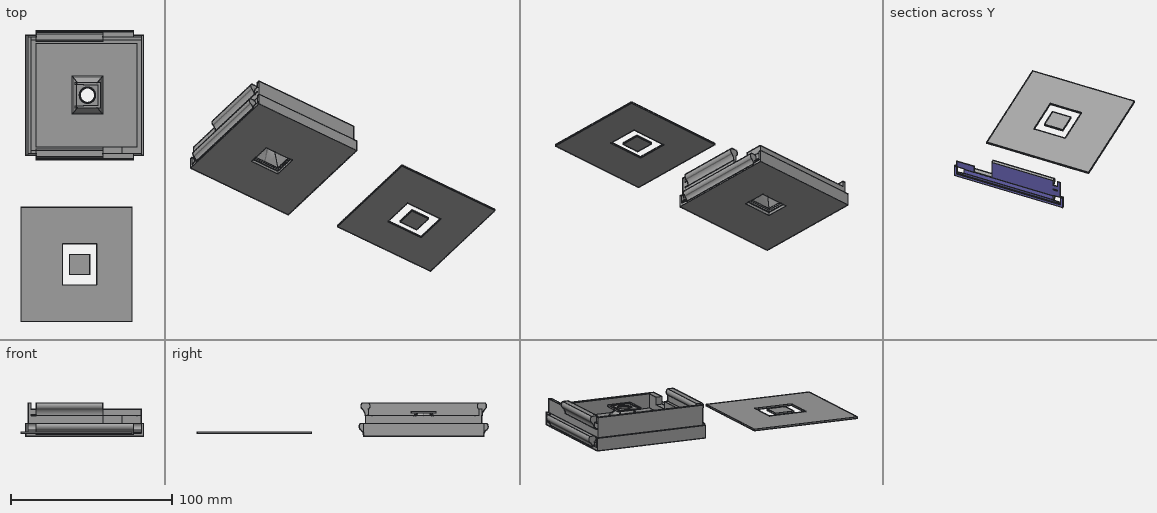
import cadquery as cq

box_length = 70.2
box_width = 72.4
clearance = 0.5

tray_end_wall = 1.5
tray_side_margin = 1.1
tray_length = box_length + 2 * tray_end_wall
tray_width = box_width + 2 * tray_side_margin
tray_height = 8.1
tray_floor = 2.1
tray_finger_bottom = 1.1

total_height = 20.85
box_bottom = tray_floor + clearance
box_floor_top = 3.9
ledge_z = 12.95
rim_top = 16.85
rim_thickness = 1.9
recess_left = -30.2
recess_right = 32.4
recess_width = 64.0
opening_right = 23.1
opening_sill = tray_height

head_height = 4.0
head_flat_overhang = 1.9
head_reach = 2.8
inner_bulge = 1.0
foot_step = 0.2
hollow_depth = 0.4
finger_left = recess_left
box_finger_right = 11.3
tray_finger_right = 30.3

funnel_x = 1.7
funnel_base_length = 19.2
funnel_base_width = 23.6
funnel_base_thickness = 1.2
funnel_base_bevel = 0.85
neck_diameter = 10.2
bore_diameter = 8.9
funnel_wall = 1.0
platform_x = 2.4
platform_length = 15.0
platform_width = 15.6
platform_thickness = 0.6
platform_top = 15.1
lip_height = 0.5
lip_overhang = 0.8
pocket_width = 12.5
pocket_end_wall = 1.6
pocket_entry_width = 13.5
pocket_entry_length = 4.5

overall_length = 76.25
overall_width = 180.63
template_length = 69.0
template_width = 71.0
template_thickness = 1.1
template_bottom = 1.7
window_length = 21.1
window_width = 25.4
window_offset = 2.0
square_size = 12.6

finger_reach_y = tray_width / 2 + head_reach
template_x = tray_length / 2 - overall_length + template_length / 2
template_y = finger_reach_y - overall_width + template_width / 2
window_x = template_x + window_offset


def block(x_min, x_max, y_min, y_max, z_min, z_max):
    """Box given by its limits along each axis."""
    size = (x_max - x_min, y_max - y_min, z_max - z_min)
    return cq.Workplane("XY").box(*size, centered=False).translate((x_min, y_min, z_min))


def centred_block(x, y, length, width, z_min, z_max):
    """Box centred at x, y."""
    return block(x - length / 2, x + length / 2, y - width / 2, y + width / 2, z_min, z_max)


def both_sides(shape):
    """The shape at +Y together with its mirror image at -Y."""
    return shape.union(shape.mirror("XZ"))


def snap_finger(x_min, x_max, inner, outer, bottom, top):
    """Finger at +Y running along X between its inner and outer wall faces."""
    neck = top - head_height
    middle = top - head_height / 2
    foot = outer + foot_step
    overhang = outer + head_flat_overhang
    hollow = ((foot + overhang) / 2 - hollow_depth, (bottom + neck) / 2 + hollow_depth / 2)
    profile = (
        cq.Workplane("YZ")
        .moveTo(inner, bottom)
        .lineTo(inner, neck)
        .threePointArc((inner - inner_bulge, middle), (inner, top))
        .lineTo(overhang, top)
        .threePointArc((outer + head_reach, middle), (overhang, neck))
        .threePointArc(hollow, (foot, bottom))
        .close()
    )
    return profile.extrude(x_max - x_min).translate((x_min, 0, 0))


def snap_groove():
    """Bar that cuts the groove in the +Y side of the box for the bulge of the tray finger."""
    side = box_width / 2
    neck = tray_height - head_height
    profile = (
        cq.Workplane("YZ")
        .moveTo(side, neck)
        .threePointArc((side - inner_bulge, tray_height - head_height / 2), (side, tray_height))
        .close()
    )
    return profile.extrude(box_length / 2, both=True)


bore_length = funnel_base_length - 2 * (funnel_base_bevel + funnel_wall)
bore_width = funnel_base_width - 2 * (funnel_base_bevel + funnel_wall)


def floor_opening(z_min, z_max):
    return centred_block(funnel_x, 0, bore_length, bore_width, z_min, z_max)


def make_tray():
    tray = centred_block(0, 0, tray_length, tray_width, 0, tray_height)
    tray = tray.cut(centred_block(0, 0, box_length, tray_width, tray_floor, tray_height))
    finger = snap_finger(
        finger_left, tray_finger_right, box_width / 2, tray_width / 2, tray_finger_bottom, tray_height
    )
    return tray.union(both_sides(finger)).cut(floor_opening(0, tray_floor))


def make_box():
    half_length = box_length / 2
    half_width = box_width / 2
    rim_inner = half_width - rim_thickness
    end_wall_inner = rim_thickness - half_length

    box = centred_block(0, 0, box_length, box_width, box_bottom, ledge_z)
    box = box.union(block(-half_length, end_wall_inner, -half_width, half_width, ledge_z, total_height))
    box = box.union(block(end_wall_inner, half_length, rim_inner, half_width, ledge_z, rim_top))
    box = box.union(
        block(end_wall_inner, box_finger_right, -half_width, -rim_inner, ledge_z, rim_top)
    )
    slit = block(end_wall_inner, finger_left, rim_inner, half_width, ledge_z, ledge_z + clearance)
    box = box.cut(both_sides(slit))
    finger = snap_finger(finger_left, box_finger_right, rim_inner, half_width, ledge_z, total_height)
    box = box.union(both_sides(finger))

    recess = block(
        recess_left, recess_right, -recess_width / 2, recess_width / 2, box_floor_top, ledge_z
    )
    side_opening = block(
        box_finger_right, opening_right, -half_width, -recess_width / 2, opening_sill, ledge_z
    )
    box = box.cut(recess).cut(side_opening).cut(both_sides(snap_groove()))
    return box.cut(floor_opening(box_bottom, box_floor_top))


def rectangle_to_circle(length, width, diameter, z_min, z_max):
    """Loft from a rectangle at the bottom to a circle at the top."""
    return (
        cq.Workplane("XY")
        .workplane(offset=z_min)
        .center(funnel_x, 0)
        .rect(length, width)
        .workplane(offset=z_max - z_min)
        .circle(diameter / 2)
        .loft(ruled=True, combine=True)
    )


def bevelled_base(top_length, top_width, top_z):
    """Low foot of the funnel with sloping sides."""
    return (
        cq.Workplane("XY")
        .workplane(offset=box_floor_top)
        .center(funnel_x, 0)
        .rect(funnel_base_length, funnel_base_width)
        .workplane(offset=top_z - box_floor_top)
        .rect(top_length, top_width)
        .loft(ruled=True, combine=True)
    )


def make_funnel():
    base_top = box_floor_top + funnel_base_thickness
    platform_bottom = platform_top - platform_thickness
    lip_top = platform_top + lip_height
    platform_left = platform_x - platform_length / 2
    platform_right = platform_x + platform_length / 2

    cone_length = funnel_base_length - 2 * funnel_base_bevel
    cone_width = funnel_base_width - 2 * funnel_base_bevel
    funnel = bevelled_base(cone_length, cone_width, base_top)
    funnel = funnel.union(
        rectangle_to_circle(cone_length, cone_width, neck_diameter, base_top, platform_bottom)
    )
    funnel = funnel.union(
        centred_block(platform_x, 0, platform_length, platform_width, platform_bottom, platform_top)
    )
    lip_left = platform_left - lip_overhang
    half_platform = platform_width / 2
    lip = block(lip_left, platform_right, -half_platform, half_platform, platform_top, lip_top)
    lip = lip.cut(
        block(
            lip_left, platform_right - pocket_end_wall, -pocket_width / 2, pocket_width / 2,
            platform_top, lip_top,
        )
    )
    lip = lip.cut(
        block(
            lip_left, platform_left + pocket_entry_length, -pocket_entry_width / 2,
            pocket_entry_width / 2, platform_top, lip_top,
        )
    )
    funnel = funnel.union(lip)
    funnel = funnel.cut(floor_opening(box_floor_top, base_top))
    funnel = funnel.cut(
        rectangle_to_circle(bore_length, bore_width, bore_diameter, base_top, platform_bottom)
    )
    bore = cq.Workplane("XY").circle(bore_diameter / 2).extrude(platform_thickness)
    return funnel.cut(bore.translate((funnel_x, 0, platform_bottom)))


template_top = template_bottom + template_thickness


def make_template():
    template = centred_block(
        template_x, template_y, template_length, template_width, template_bottom, template_top
    )
    return template.cut(
        centred_block(window_x, template_y, window_length, window_width, template_bottom, template_top)
    )


def make_square():
    return centred_block(window_x, template_y, square_size, square_size, template_bottom, template_top)


tray = make_tray()
box = make_box()
funnel = make_funnel()
template = make_template()
square = make_square()

result = cq.Compound.makeCompound([tray.val(), box.val(), funnel.val(), template.val(), square.val()])